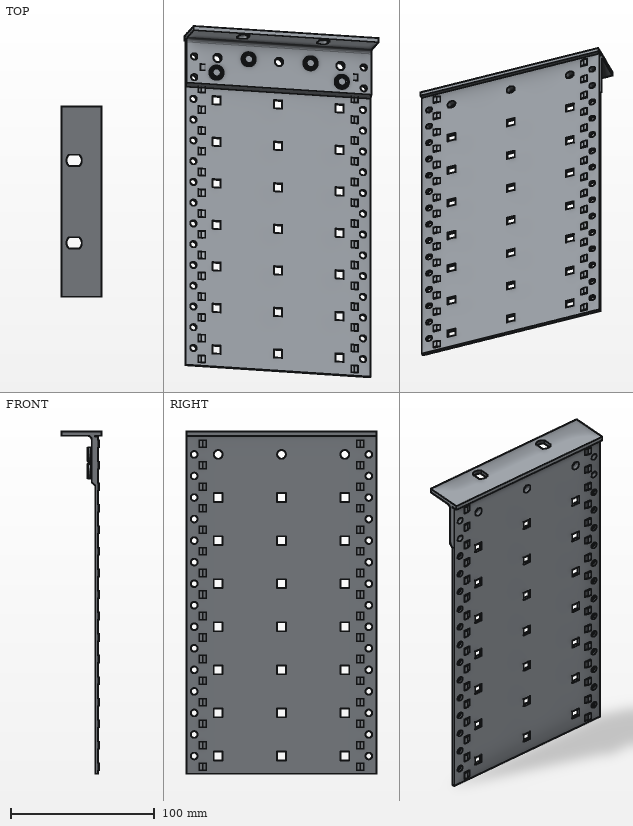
import cadquery as cq
import math

WIDTH = 132.5
HEIGHT = 238.5
PANEL_THICKNESS = 2.1
FLANGE_DEPTH = 28.0
FLANGE_THICKNESS = 3.0
FLANGE_REAR_OVERHANG = 2.5
WEB_THICKNESS = 4.5
WEB_HEIGHT = 34.5
CORNER_RADIUS = 2.6
JOINT_GAP = 0.2

HOLE_COUNT = 15
HOLE_SPAN = 210.0
PITCH = HOLE_SPAN / (HOLE_COUNT - 1)
LOWEST_HOLE_Z = 12.5
TOP_HOLE_Z = LOWEST_HOLE_Z + HOLE_SPAN
EDGE_HOLE_DIAMETER = 4.5
EDGE_HOLE_Y = 60.8

SQUARE_SIDE = 6.0
SQUARE_COLUMN_Y = 44.1
SQUARE_ROW_COUNT = HOLE_COUNT // 2
ROUND_HOLE_DIAMETER = 6.0

DIMPLE_SIZE = 5.0
DIMPLE_DEPTH = 1.0
DIMPLE_Y = 54.9
DIMPLE_COUNT = 16
HOLLOW_COUNT = DIMPLE_COUNT - 2
LOWEST_DIMPLE_Z = LOWEST_HOLE_Z - PITCH / 2

RECESS_WIDTH = 3.0
RECESS_RAMP_WIDTH = 2.5
RECESS_HEIGHT = 4.5
RECESS_DEPTH = 0.5
RECESS_INNER_Y = 53.5
RECESS_Z = LOWEST_DIMPLE_Z + (DIMPLE_COUNT - 2) * PITCH

SLOT_DIAMETER = 10.5
SLOT_WIDTH = 7.6
SLOT_FRONT_INSET = 8.8
SLOT_SPACING = 57.5

STUD_DIAMETER = 10.0
DISH_FLOOR_DIAMETER = 5.7
STUD_HEIGHT = 3.0
STUD_BEVEL = 0.7
DISH_DEPTH = 1.0
STUD_CENTRES = [
    (22.2, TOP_HOLE_Z),
    (-22.2, TOP_HOLE_Z),
    (45.3, 211.3),
    (-44.5, 210.5),
]

WEB_FRONT_X = -WEB_THICKNESS
FLANGE_FRONT_X = FLANGE_REAR_OVERHANG - FLANGE_DEPTH
FLANGE_BOTTOM_Z = HEIGHT - FLANGE_THICKNESS


def bracket_blank():
    """Panel, thicker web and flange as one profile drawn in XZ and extruded along Y.

    A narrow joint separates the panel's top edge from the underside of the flange.
    """
    web_bottom_z = FLANGE_BOTTOM_Z - WEB_HEIGHT
    web_step = WEB_THICKNESS - PANEL_THICKNESS
    corner_mid = CORNER_RADIUS * (1 - math.sqrt(0.5))
    return (
        cq.Workplane("XZ")
        .moveTo(-PANEL_THICKNESS, 0)
        .lineTo(-PANEL_THICKNESS, web_bottom_z)
        .lineTo(WEB_FRONT_X, web_bottom_z + web_step)
        .lineTo(WEB_FRONT_X, FLANGE_BOTTOM_Z - CORNER_RADIUS)
        .threePointArc(
            (WEB_FRONT_X - corner_mid, FLANGE_BOTTOM_Z - corner_mid),
            (WEB_FRONT_X - CORNER_RADIUS, FLANGE_BOTTOM_Z),
        )
        .lineTo(FLANGE_FRONT_X, FLANGE_BOTTOM_Z)
        .lineTo(FLANGE_FRONT_X, HEIGHT)
        .lineTo(FLANGE_REAR_OVERHANG, HEIGHT)
        .lineTo(FLANGE_REAR_OVERHANG, FLANGE_BOTTOM_Z)
        .lineTo(-PANEL_THICKNESS, FLANGE_BOTTOM_Z)
        .lineTo(-PANEL_THICKNESS, FLANGE_BOTTOM_Z - JOINT_GAP)
        .lineTo(0, FLANGE_BOTTOM_Z - JOINT_GAP)
        .lineTo(0, 0)
        .close()
        .extrude(WIDTH / 2, both=True)
    )


def panel_workplane():
    """Plane on the rear face whose local x runs along +Y and local y along +Z."""
    return cq.Workplane("YZ")


def edge_holes():
    points = [
        (side * EDGE_HOLE_Y, LOWEST_HOLE_Z + row * PITCH)
        for side in (-1, 1)
        for row in range(HOLE_COUNT)
    ]
    return panel_workplane().pushPoints(points).circle(EDGE_HOLE_DIAMETER / 2).extrude(-WEB_THICKNESS)


def column_holes():
    columns = (-SQUARE_COLUMN_Y, 0, SQUARE_COLUMN_Y)
    squares = [(y, LOWEST_HOLE_Z + 2 * row * PITCH) for y in columns for row in range(SQUARE_ROW_COUNT)]
    rounds = [(y, TOP_HOLE_Z) for y in columns]
    square_cut = panel_workplane().pushPoints(squares).rect(SQUARE_SIDE, SQUARE_SIDE).extrude(-PANEL_THICKNESS)
    round_cut = panel_workplane().pushPoints(rounds).circle(ROUND_HOLE_DIAMETER / 2).extrude(-WEB_THICKNESS)
    return square_cut.union(round_cut)


def ramped_block(front_x, depth, width, ramp_width, height, inner_y, middle_z, side):
    """Block sunk into a front face: it ramps down outwards from inner_y, then runs flat."""
    return (
        cq.Workplane("XY", origin=(0, 0, middle_z))
        .moveTo(front_x, side * inner_y)
        .lineTo(front_x + depth, side * (inner_y + ramp_width))
        .lineTo(front_x + depth, side * (inner_y + width))
        .lineTo(front_x, side * (inner_y + width))
        .close()
        .extrude(height / 2, both=True)
    )


def dimple_blocks(front_x, rows):
    """Dimple shapes sunk into the face at front_x, on both sides of the panel."""
    blocks = [
        ramped_block(
            front_x,
            DIMPLE_DEPTH,
            DIMPLE_SIZE,
            DIMPLE_SIZE / 2,
            DIMPLE_SIZE,
            DIMPLE_Y - DIMPLE_SIZE / 2,
            LOWEST_DIMPLE_Z + row * PITCH,
            side,
        ).val()
        for side in (-1, 1)
        for row in rows
    ]
    return cq.Workplane(cq.Compound.makeCompound(blocks))


def web_recess(side):
    return ramped_block(
        WEB_FRONT_X,
        RECESS_DEPTH,
        RECESS_WIDTH,
        RECESS_RAMP_WIDTH,
        RECESS_HEIGHT,
        RECESS_INNER_Y,
        RECESS_Z,
        side,
    )


def flange_slots():
    """Round holes cut off by flats that run along X."""
    slot_x = FLANGE_FRONT_X + SLOT_FRONT_INSET
    points = [(slot_x, -SLOT_SPACING / 2), (slot_x, SLOT_SPACING / 2)]
    plane = cq.Workplane("XY", origin=(0, 0, FLANGE_BOTTOM_Z)).pushPoints(points)
    discs = plane.circle(SLOT_DIAMETER / 2).extrude(FLANGE_THICKNESS)
    bands = plane.rect(SLOT_DIAMETER, SLOT_WIDTH).extrude(FLANGE_THICKNESS)
    return discs.intersect(bands)


def make_bracket():
    """Every dimple bulges out at the rear; only those below the web are hollow in front."""
    bumps = dimple_blocks(0, range(DIMPLE_COUNT))
    hollows = dimple_blocks(-PANEL_THICKNESS, range(HOLLOW_COUNT))
    return (
        bracket_blank()
        .union(bumps)
        .cut(hollows)
        .cut(web_recess(-1))
        .cut(web_recess(1))
        .cut(edge_holes())
        .cut(column_holes())
        .cut(flange_slots())
    )


def make_stud_head(y, z):
    """Disc on the web, bevelled on both rims, with a conical dish down to a flat floor in its front."""
    radius = STUD_DIAMETER / 2
    floor_radius = DISH_FLOOR_DIAMETER / 2
    half_profile = (
        cq.Workplane("XY")
        .lineTo(0, radius - STUD_BEVEL)
        .lineTo(-STUD_BEVEL, radius)
        .lineTo(STUD_BEVEL - STUD_HEIGHT, radius)
        .lineTo(-STUD_HEIGHT, radius - STUD_BEVEL)
        .lineTo(-STUD_HEIGHT, floor_radius + DISH_DEPTH)
        .lineTo(DISH_DEPTH - STUD_HEIGHT, floor_radius)
        .lineTo(DISH_DEPTH - STUD_HEIGHT, 0)
        .close()
    )
    return half_profile.revolve(360, (0, 0, 0), (1, 0, 0)).translate((WEB_FRONT_X, y, z))


bracket = make_bracket()
stud_heads = [make_stud_head(y, z) for y, z in STUD_CENTRES]
result = cq.Compound.makeCompound([bracket.val(), *[head.val() for head in stud_heads]])